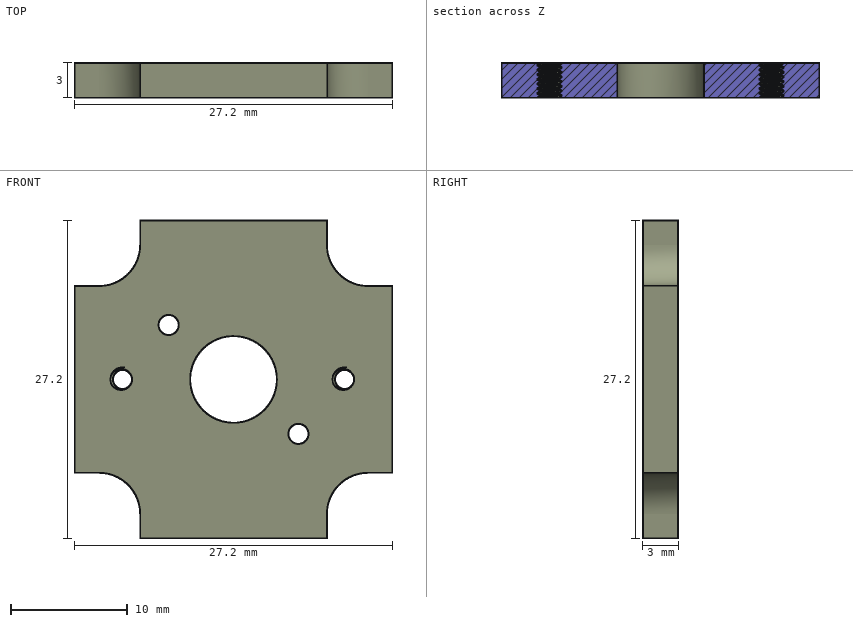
import cadquery as cq
import math

PLATE_SIZE = 27.2
THICKNESS = 3.0
ARM_WIDTH = 16.0
CORNER_RADIUS = 3.5

CENTRE_BORE_DIAMETER = 7.4

PLAIN_HOLE_DIAMETER = 1.7
PLAIN_HOLE_PITCH_RADIUS = 7.25
PLAIN_HOLE_ANGLES = (140, 320)

THREAD_HOLE_OFFSET = 9.5
THREAD_MINOR_DIAMETER = 1.62
THREAD_MAJOR_DIAMETER = 2.07
THREAD_PITCH = 0.4
THREAD_FLANK_ANGLE = 30
THREAD_ROOT_FLAT = THREAD_PITCH / 8
THREAD_START_ANGLE = 180
THREAD_OVERLAP = 0.02


def make_plate():
    """Square plate with each corner cut by a square notch that is rounded at its inner edge."""
    notch_size = (PLATE_SIZE - ARM_WIDTH) / 2
    notch_centre = (PLATE_SIZE - notch_size) / 2
    plate = cq.Workplane("XY").box(PLATE_SIZE, THICKNESS, PLATE_SIZE)
    notch = (
        cq.Workplane("XY")
        .box(notch_size, THICKNESS, notch_size)
        .edges("|Y and <X and <Z")
        .fillet(CORNER_RADIUS)
        .translate((notch_centre, 0, notch_centre))
    )
    for angle in (0, 90, 180, 270):
        plate = plate.cut(notch.rotate((0, 0, 0), (0, 1, 0), angle))
    return plate


def hole_cutter(diameter, x, z):
    """Cylinder along Y through the whole plate."""
    back_face = cq.Workplane("XZ", origin=(x, THICKNESS / 2, z))
    return back_face.circle(diameter / 2).extrude(THICKNESS)


def thread_groove_cutter():
    """Right-hand helical groove about the Y axis, trimmed flush with both plate faces."""
    length = THICKNESS + 2 * THREAD_PITCH
    inner = THREAD_MINOR_DIAMETER / 2 - THREAD_OVERLAP
    outer = THREAD_MAJOR_DIAMETER / 2
    root_half = THREAD_ROOT_FLAT / 2
    mouth_half = root_half + (outer - inner) * math.tan(math.radians(THREAD_FLANK_ANGLE))
    path = cq.Wire.makeHelix(THREAD_PITCH, length, inner)
    groove = (
        cq.Workplane("XZ")
        .polyline([(inner, -mouth_half), (outer, -root_half), (outer, root_half), (inner, mouth_half)])
        .close()
        .sweep(cq.Workplane(path), isFrenet=True)
    )
    groove = (
        groove.rotate((0, 0, 0), (0, 0, 1), THREAD_START_ANGLE)
        .rotate((0, 0, 0), (1, 0, 0), -90)
        .translate((0, -length / 2, 0))
    )
    slab_side = 2 * THREAD_MAJOR_DIAMETER
    slab = cq.Workplane("XY").box(slab_side, THICKNESS, slab_side)
    return groove.intersect(slab)


result = make_plate()
result = result.cut(hole_cutter(CENTRE_BORE_DIAMETER, 0, 0))

for angle in PLAIN_HOLE_ANGLES:
    hole_x = PLAIN_HOLE_PITCH_RADIUS * math.cos(math.radians(angle))
    hole_z = PLAIN_HOLE_PITCH_RADIUS * math.sin(math.radians(angle))
    result = result.cut(hole_cutter(PLAIN_HOLE_DIAMETER, hole_x, hole_z))

groove_cutter = thread_groove_cutter()
for hole_x in (-THREAD_HOLE_OFFSET, THREAD_HOLE_OFFSET):
    result = result.cut(hole_cutter(THREAD_MINOR_DIAMETER, hole_x, 0))
    result = result.cut(groove_cutter.translate((hole_x, 0, 0)))